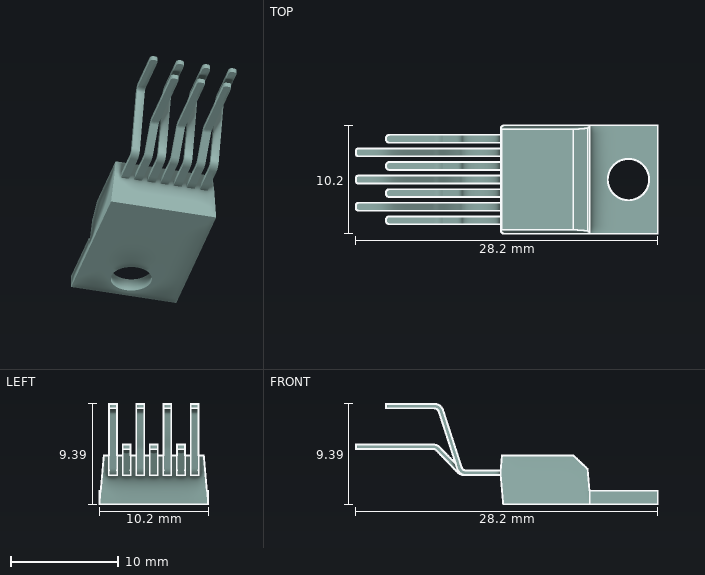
import cadquery as cq
import math


width = 10.16
package_height = 4.57
tab_length = 6.37
tab_thickness = 1.27
hole_diameter = 3.84
hole_to_tab_end = 2.74

draft = math.tan(math.radians(5))
parting_x = -14.69
chamfer_length = 1.34
chamfer_height = 1.27

lead_count = 7
lead_pitch = 1.27
lead_width = 0.76
lead_thickness = 0.44
lead_bottom = 2.72
bend_inner_radius = 0.44
bend_outer_radius = bend_inner_radius + lead_thickness

raised_lead = {
    "tip_x": -25.4,
    "top_z": 9.39,
    "bend_angle": 72,
    "first_bend_x": -17.9,
    "tip_fillet": 0.33,
}
extended_lead = {
    "tip_x": -28.21,
    "top_z": 5.6,
    "bend_angle": 46,
    "first_bend_x": -18.08,
    "tip_fillet": 0.25,
}


def make_tab():
    """Flat metal tab with its mounting hole."""
    plate = cq.Workplane("XY").box(tab_length, width, tab_thickness, centered=(False, True, False))
    plate = plate.translate((-tab_length, 0, 0))
    hole = cq.Workplane("XY").center(-hole_to_tab_end, 0).circle(hole_diameter / 2).extrude(tab_thickness)
    return plate.cut(hole)


def make_package():
    """Moulded block: its side outline, narrowed toward the top by the draft of both flanks."""
    lead_top = lead_bottom + lead_thickness
    shoulder_z = package_height - chamfer_height
    shoulder_x = -tab_length - (shoulder_z - tab_thickness) * draft
    side_outline = [
        (parting_x + lead_bottom * draft, 0),
        (-tab_length, 0),
        (-tab_length, tab_thickness),
        (shoulder_x, shoulder_z),
        (shoulder_x - chamfer_length, package_height),
        (parting_x + (package_height - lead_top) * draft, package_height),
        (parting_x, lead_top),
        (parting_x, lead_bottom),
    ]
    block = cq.Workplane("XZ").polyline(side_outline).close().extrude(width / 2, both=True)

    half_base = width / 2
    half_top = half_base - package_height * draft
    end_outline = [
        (-half_base, 0),
        (half_base, 0),
        (half_top, package_height),
        (-half_top, package_height),
    ]
    flanks = cq.Workplane("YZ").polyline(end_outline).close().extrude(parting_x)
    return block.intersect(flanks)


def make_lead(tip_x, top_z, bend_angle, first_bend_x, tip_fillet, y):
    """Flat lead leaving the package, bent up and then bent back to horizontal."""
    angle = math.radians(bend_angle)
    first_center = (first_bend_x, lead_bottom + bend_outer_radius)
    center_rise = top_z - bend_outer_radius - first_center[1]
    bend_reach = bend_inner_radius + bend_outer_radius
    slope_length = (center_rise + bend_reach * math.cos(angle)) / math.sin(angle)
    center_run = bend_reach * math.sin(angle) + slope_length * math.cos(angle)
    second_center = (first_bend_x - center_run, top_z - bend_outer_radius)

    def below_first(radius, turn):
        return (first_center[0] - radius * math.sin(turn), first_center[1] - radius * math.cos(turn))

    def above_second(radius, turn):
        return (second_center[0] + radius * math.sin(turn), second_center[1] + radius * math.cos(turn))

    inner = bend_inner_radius
    outer = bend_outer_radius
    lead = (
        cq.Workplane("XZ", origin=(0, y, 0))
        .moveTo(parting_x, lead_bottom)
        .lineTo(*below_first(outer, 0))
        .threePointArc(below_first(outer, angle / 2), below_first(outer, angle))
        .lineTo(*above_second(inner, angle))
        .threePointArc(above_second(inner, angle / 2), above_second(inner, 0))
        .lineTo(tip_x, top_z - lead_thickness)
        .lineTo(tip_x, top_z)
        .lineTo(*above_second(outer, 0))
        .threePointArc(above_second(outer, angle / 2), above_second(outer, angle))
        .lineTo(*below_first(inner, angle))
        .threePointArc(below_first(inner, angle / 2), below_first(inner, 0))
        .lineTo(parting_x, lead_bottom + lead_thickness)
        .close()
        .extrude(lead_width / 2, both=True)
    )
    return lead.faces("<X").edges("|Z").fillet(tip_fillet)


tab = make_tab()
package = make_package()

leads = []
for index in range(lead_count):
    lead_y = (index - (lead_count - 1) / 2) * lead_pitch
    form = raised_lead if index % 2 == 0 else extended_lead
    leads.append(make_lead(y=lead_y, **form).val())

result = cq.Compound.makeCompound([package.val(), tab.val(), *leads])